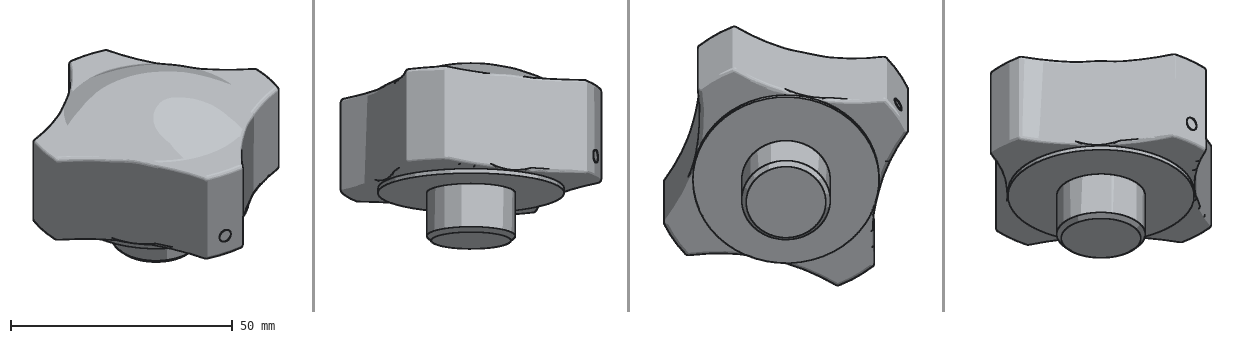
import cadquery as cq
import math

knob_diameter = 60.0
knob_height = 40.0

flange_bottom = 11.0
head_bottom = 12.0
head_top = 34.0

stem_diameter = 20.0
stem_chamfer = 1.0
flange_diameter = 42.0
collar_flare = 45

arm_count = 4
scallop_radius = 48.0
scallop_clearance = 21.2
edge_radius = 1.0

dome_base_radius = flange_diameter / 2
dome_rise = knob_height - head_top
dome_radius = (dome_base_radius**2 + dome_rise**2) / (2 * dome_rise)
blend_radius = 1.0

recess_diameter = 3.0
recess_depth = 0.2
recess_height = 17.2

knob_radius = knob_diameter / 2
arm_step = 360 / arm_count


def make_domed_blank():
    """Round blank: a flat rim joined to the spherical dome by a concave blend."""
    dome_center_z = knob_height - dome_radius
    blend_center_z = head_top + blend_radius
    blend_center_r = math.sqrt((dome_radius + blend_radius) ** 2 - (blend_center_z - dome_center_z) ** 2)

    blend_share = dome_radius / (dome_radius + blend_radius)
    dome_end = (
        blend_center_r * blend_share,
        dome_center_z + (blend_center_z - dome_center_z) * blend_share,
    )

    blend_tilt = math.atan2(blend_center_r, blend_center_z - dome_center_z)
    blend_middle = (
        blend_center_r - blend_radius * math.sin(blend_tilt / 2),
        blend_center_z - blend_radius * math.cos(blend_tilt / 2),
    )
    dome_middle = (
        dome_radius * math.sin(blend_tilt / 2),
        dome_center_z + dome_radius * math.cos(blend_tilt / 2),
    )

    return (
        cq.Workplane("XZ")
        .moveTo(0, head_bottom)
        .lineTo(knob_radius, head_bottom)
        .lineTo(knob_radius, head_top)
        .lineTo(blend_center_r, head_top)
        .threePointArc(blend_middle, dome_end)
        .threePointArc(dome_middle, (0, knob_height))
        .close()
        .revolve(360, (0, 0, 0), (0, 1, 0))
    )


def make_scallops():
    """Cutters for the concave walls between the arms."""
    return (
        cq.Workplane("XY")
        .workplane(offset=head_bottom)
        .polarArray(scallop_clearance + scallop_radius, arm_step / 2, 360, arm_count)
        .circle(scallop_radius)
        .extrude(knob_height - head_bottom)
    )


def make_head():
    """Blank with the scallops cut away and every edge of the upright walls rounded."""
    head = make_domed_blank().cut(make_scallops())
    return head.faces("%CYLINDER").edges().fillet(edge_radius)


def make_collar():
    """Cone flaring from the flange to the walls, filling the rounding where a scallop nears the flange."""
    collar = (
        cq.Workplane("XY")
        .workplane(offset=head_bottom)
        .circle(flange_diameter / 2)
        .extrude(edge_radius, taper=-collar_flare)
    )
    return collar.cut(make_scallops())


def make_stem_and_flange():
    """Chamfered stem with the flange."""
    stem = (
        cq.Workplane("XY")
        .circle(stem_diameter / 2)
        .extrude(flange_bottom)
        .faces("<Z")
        .chamfer(stem_chamfer)
    )
    flange = (
        cq.Workplane("XY")
        .workplane(offset=flange_bottom)
        .circle(flange_diameter / 2)
        .extrude(head_bottom - flange_bottom)
    )
    return stem.union(flange)


def make_cross_rod(length):
    """Rod of the recess diameter, centred on the knob axis and lying along X."""
    return (
        cq.Workplane("YZ")
        .center(0, recess_height)
        .circle(recess_diameter / 2)
        .extrude(length / 2, both=True)
    )


def make_tip_recesses():
    """Cutters for the recesses, one entering each end of the X axis."""
    core = make_cross_rod(knob_diameter - 2 * recess_depth)
    return make_cross_rod(knob_diameter).cut(core)


result = (
    make_head()
    .union(make_collar())
    .union(make_stem_and_flange())
    .cut(make_tip_recesses())
)